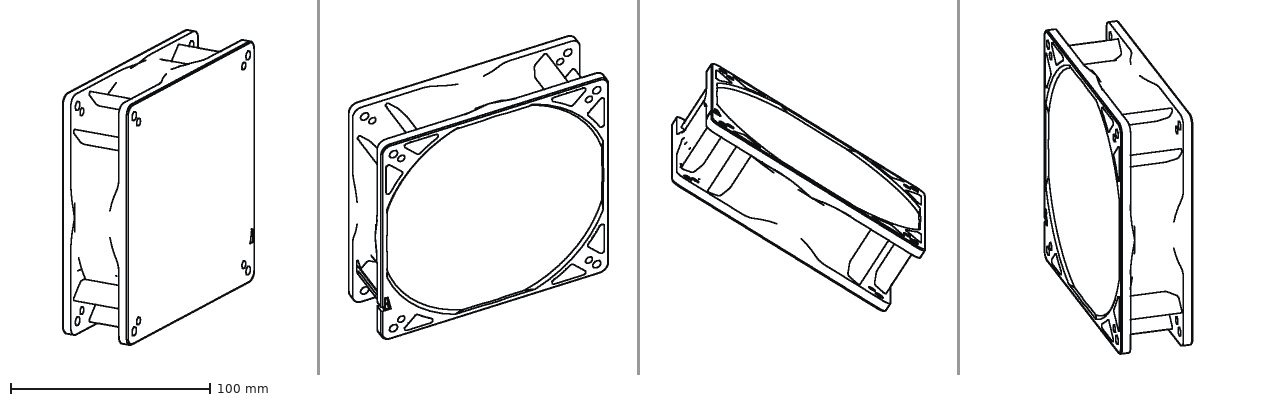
import cadquery as cq
import math


side = 127.0
half = side / 2
depth = 38.0
flange_thickness = 5.1
rear_flange_x = depth - flange_thickness
corner_radius = 5.1
edge_chamfer = 0.6

barrel_radius = 63.5
barrel_start_x = 7.2
barrel_end_x = 26.3
barrel_fillet = barrel_start_x - flange_thickness
cone_start_x = 27.8
cone_end_x = 31.8
cone_angle = math.radians(30)

recess_depth = 1.5
recess_rim_radius = 64.4
recess_floor_radius = 62.7
recess_half_width = 60.3
recess_disc_radius = 60.7

mount_hole_offset = 52.5
mount_hole_diameter = 3.8
corner_hole_offset = 56.8
corner_hole_diameter = 4.5

pocket_edge_offset = 61.0
pocket_diagonal_shift = 8.4
pocket_inner_radius = 66.8
small_pocket_inner_radius = 68.3
pocket_corner_radius = 1.4
pocket_depth = 1.3
pocket_wall_angle = 20.0
pocket_floor_fillet = 0.5

rib_spacing = 22.1
rib_thickness = 2.0
rib_tip_fillet = 0.6
rib_inner_radius = 57.2
rib_outer_radius = 74.3

slot_bottom_z = -43.5
slot_top_z = -35.5
slot_bottom_depth = 5.3
slot_top_depth = 3.5
slot_lip = 1.9
slot_mouth_height = 2.5
slot_chamfer = 0.5
slot_chamfer_angle = 45.0

corner_signs = [(y_sign, z_sign) for y_sign in (-1, 1) for z_sign in (-1, 1)]


def square_plate(start_x, thickness, width):
    return cq.Workplane("YZ").workplane(offset=start_x).rect(width, width).extrude(thickness)


def flange(start_x, outer_face):
    plate = square_plate(start_x, flange_thickness, side)
    plate = plate.edges("|X").fillet(corner_radius)
    return plate.faces(outer_face).edges().chamfer(edge_chamfer)


def barrel():
    """Barrel flaring into both flanges, cut flat where it would stand out past the square."""
    front_inside_x = flange_thickness / 2
    rear_inside_x = depth - flange_thickness / 2
    front_flare_radius = barrel_radius + barrel_fillet

    cone_start_radius = barrel_radius + (cone_start_x - barrel_end_x) * math.tan(cone_angle / 2)
    cone_end_radius = cone_start_radius + (cone_end_x - cone_start_x) * math.tan(cone_angle)
    flare_chord_angle = (math.pi / 2 + cone_angle) / 2
    rear_flare_radius = cone_end_radius + (rear_flange_x - cone_end_x) * math.tan(flare_chord_angle)
    profile = (
        cq.Workplane("XY")
        .moveTo(front_inside_x, 0)
        .lineTo(front_inside_x, front_flare_radius)
        .lineTo(flange_thickness, front_flare_radius)
        .radiusArc((barrel_start_x, barrel_radius), -barrel_fillet)
        .lineTo(barrel_end_x, barrel_radius)
        .tangentArcPoint((cone_start_x, cone_start_radius), relative=False)
        .lineTo(cone_end_x, cone_end_radius)
        .tangentArcPoint((rear_flange_x, rear_flare_radius), relative=False)
        .lineTo(rear_inside_x, rear_flare_radius)
        .lineTo(rear_inside_x, 0)
        .close()
    )
    body = profile.revolve(360, (0, 0, 0), (1, 0, 0))
    return body.intersect(square_plate(0, depth, side))


def rib(angle, shift):
    """Plate along the direction at the given angle, moved sideways from the barrel axis."""
    length = rib_outer_radius - rib_inner_radius
    plate = cq.Workplane("XY").box(
        rear_flange_x - flange_thickness, length, rib_thickness, centered=(False, False, True)
    )
    plate = plate.faces(">Y").edges("|X").fillet(rib_tip_fillet)
    plate = plate.translate((flange_thickness, rib_inner_radius, shift))
    return plate.rotate((0, 0, 0), (1, 0, 0), angle)


def front_recess():
    """Conical recess with flat sides, just reached by a slightly wider disc at mid-side."""
    profile = [(0, 0), (0, recess_rim_radius), (recess_depth, recess_floor_radius), (recess_depth, 0)]
    cone = cq.Workplane("XY").polyline(profile).close().revolve(360, (0, 0, 0), (1, 0, 0))
    cone = cone.intersect(square_plate(0, recess_depth, 2 * recess_half_width))
    disc = cq.Workplane("YZ").circle(recess_disc_radius).extrude(recess_depth)
    return cone.union(disc)


def holes(offset, diameter):
    centres = [(y_sign * offset, z_sign * offset) for y_sign, z_sign in corner_signs]
    return cq.Workplane("YZ").pushPoints(centres).circle(diameter / 2).extrude(depth)


def corner_pocket(inner_radius):
    """Pocket along the +Z edge in the +Y +Z corner: edge line, diagonal line and barrel arc."""
    edge = pocket_edge_offset
    shift = pocket_diagonal_shift
    arc_end_y = math.sqrt(inner_radius**2 - edge**2)
    apex_y = (math.sqrt(2 * inner_radius**2 - shift**2) - shift) / 2
    apex_z = apex_y + shift
    middle_angle = (math.atan2(edge, arc_end_y) + math.atan2(apex_z, apex_y)) / 2
    arc_middle = (inner_radius * math.cos(middle_angle), inner_radius * math.sin(middle_angle))
    outline = (
        cq.Workplane("YZ")
        .moveTo(arc_end_y, edge)
        .lineTo(edge - shift, edge)
        .lineTo(apex_y, apex_z)
        .threePointArc(arc_middle, (arc_end_y, edge))
        .close()
        .offset2D(-pocket_corner_radius)
        .offset2D(pocket_corner_radius)
    )
    pocket = outline.extrude(pocket_depth, taper=pocket_wall_angle)
    return pocket.faces(">X").edges().fillet(pocket_floor_fillet)


def place_in_corner(pocket, y_sign, z_sign):
    if y_sign < 0:
        pocket = pocket.mirror("XZ")
    if z_sign < 0:
        pocket = pocket.mirror("XY")
    return pocket


def cable_slot():
    """Tapered opening through both flanges, with a front chamfer and a front mouth to the +Y edge."""
    outline = [
        (half - slot_lip, slot_bottom_z),
        (half - slot_bottom_depth, slot_bottom_z),
        (half - slot_top_depth, slot_top_z),
        (half - slot_lip, slot_top_z),
    ]
    opening = cq.Workplane("YZ").polyline(outline).close().offset2D(-slot_chamfer).extrude(depth)
    entry = cq.Workplane("YZ").polyline(outline).close().extrude(slot_chamfer, taper=slot_chamfer_angle)
    mouth = cq.Workplane("XY").box(
        flange_thickness, 2 * slot_lip, slot_mouth_height, centered=(False, True, False)
    )
    mouth = mouth.translate((0, half, slot_bottom_z))
    return opening.union(entry).union(mouth)


result = flange(0, "<X").union(flange(rear_flange_x, ">X")).union(barrel())

for diagonal_angle in (45, 135, 225, 315):
    for rib_side in (-1, 1):
        result = result.union(rib(diagonal_angle, rib_side * rib_spacing / 2))

result = result.cut(front_recess())
result = result.cut(holes(mount_hole_offset, mount_hole_diameter))
result = result.cut(holes(corner_hole_offset, corner_hole_diameter))

for y_sign, z_sign in corner_signs:
    cable_corner = (y_sign, z_sign) == (1, -1)
    edge_pocket = corner_pocket(small_pocket_inner_radius if cable_corner else pocket_inner_radius)
    result = result.cut(place_in_corner(edge_pocket, y_sign, z_sign))
    if not cable_corner:
        side_pocket = edge_pocket.rotate((0, 0, 0), (1, 0, 0), -90).mirror("XY")
        result = result.cut(place_in_corner(side_pocket, y_sign, z_sign))

result = result.cut(cable_slot())